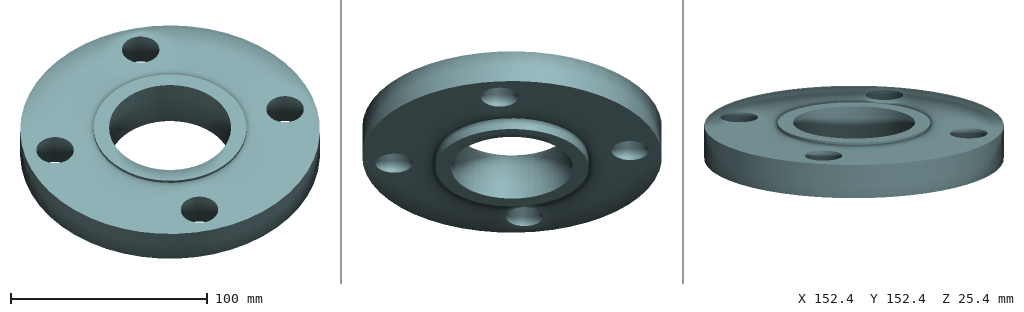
import cadquery as cq

flange_diameter = 152.4
flange_thickness = 17.5
hub_diameter = 77.7
hub_height = 6.4
raised_face_height = 1.5
bore_diameter = 62.0
bolt_circle_diameter = 120.7
bolt_hole_diameter = 19.0
bolt_count = 4
first_bolt_angle = 45.0

total_height = hub_height + flange_thickness + raised_face_height

flange = (
    cq.Workplane("XY")
    .workplane(offset=hub_height)
    .circle(flange_diameter / 2)
    .extrude(flange_thickness)
)
hub = cq.Workplane("XY").circle(hub_diameter / 2).extrude(total_height)

bore = cq.Workplane("XY").circle(bore_diameter / 2).extrude(total_height)

bolt_holes = (
    cq.Workplane("XY")
    .polarArray(bolt_circle_diameter / 2, first_bolt_angle, 360, bolt_count)
    .circle(bolt_hole_diameter / 2)
    .extrude(total_height)
)

result = flange.union(hub).cut(bore).cut(bolt_holes)